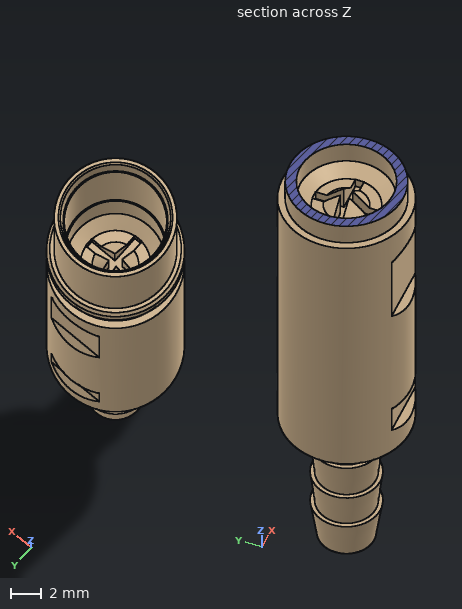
import cadquery as cq

total_height = 43.2
collar_bottom = 11.55
collar_top = 15.6
body_top = 32.23
flange_bottom = 34.3
flange_top = 35.35
flange_chamfer = 0.2

body_radius = 4.5
tube_radius = 3.995

tail_neck_radius = 2.5
tail_top_radius = 2.3
tail_neck_height = 0.35
barb_radius = 2.38
barb_root_radius = 2.07
barb_tops = [8.8, 5.95, 3.2]
tip_radius = 1.95
tip_edge_height = 0.15
tip_edge_inset = 0.17

flat_distance = tube_radius
flat_depth = body_radius - flat_distance
body_flat_bottom = 24.55
body_flat_top = 29.65
collar_flat_bottom = 13.6

mouth_radius = 3.6
mouth_chamfer = 0.15
mouth_root_radius = 3.4
mouth_depth = 1.05
bore_radius = 3.33
throat_radius = 3.25
throat_top = flange_top
seat_top = body_top
seat_radius = 2.3
seat_depth = 0.7
seat_floor = seat_top - seat_depth
cone_radius = 1.5
cone_height = cone_radius

slot_width = 0.6
slot_depth = 0.65


def outer_profile():
    """Half section of the outside, from the tip on the axis to the mouth."""
    points = [
        (0, 0),
        (tip_radius - tip_edge_inset, 0),
        (tip_radius, tip_edge_height),
    ]
    for barb_top in reversed(barb_tops):
        points.append((barb_radius, barb_top))
        points.append((barb_root_radius, barb_top))
    points += [
        (tail_top_radius, collar_bottom - tail_neck_height),
        (tail_neck_radius, collar_bottom),
        (body_radius, collar_bottom),
        (body_radius, body_top),
        (tube_radius, body_top),
        (tube_radius, flange_bottom),
        (body_radius, flange_bottom),
        (body_radius, flange_top - flange_chamfer),
        (body_radius - flange_chamfer, flange_top),
        (tube_radius, flange_top),
        (tube_radius, total_height),
        (0, total_height),
    ]
    return points


def bore_profile():
    """Half section of the stepped bore, with a raised cone at the centre of its floor."""
    return [
        (0, seat_floor + cone_height),
        (cone_radius, seat_floor),
        (seat_radius, seat_floor),
        (throat_radius, seat_top),
        (throat_radius, throat_top),
        (bore_radius, throat_top),
        (bore_radius, total_height - mouth_depth),
        (mouth_root_radius, total_height - mouth_depth),
        (mouth_radius, total_height - mouth_chamfer),
        (mouth_radius + mouth_chamfer, total_height),
        (0, total_height),
    ]


def revolve(points):
    """Turn an (r, z) half section about the Z axis."""
    return cq.Workplane("XZ").polyline(points).close().revolve(360, (0, 0), (0, 1))


def flat_cutter(bottom, top, top_slope):
    """Cutter for the -Y side: a flat with a 45 degree lower end and an optional sloped upper end."""
    profile = [
        (-flat_distance, bottom),
        (-flat_distance, top),
        (-body_radius, top + top_slope),
        (-body_radius, bottom - flat_depth),
    ]
    return cq.Workplane("YZ").polyline(profile).close().extrude(body_radius, both=True)


def cross_slot():
    """Cutter for two crossed slots through the raised cone and into the bore floor."""
    height = slot_depth + cone_height
    start = cq.Workplane("XY", origin=(0, 0, seat_floor - slot_depth))
    slot = start.rect(2 * seat_radius, slot_width).extrude(height)
    return slot.union(slot.rotate((0, 0, 0), (0, 0, 1), 90))


result = revolve(outer_profile()).cut(revolve(bore_profile()))
for cutter in (
    flat_cutter(body_flat_bottom, body_flat_top, flat_depth),
    flat_cutter(collar_flat_bottom, collar_top, 0),
):
    result = result.cut(cutter).cut(cutter.mirror("XZ"))
result = result.cut(cross_slot())